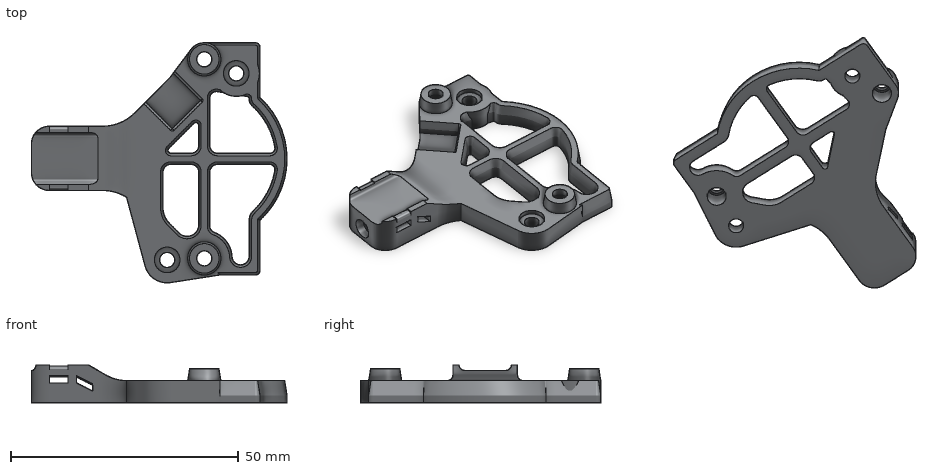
import cadquery as cq
import math


plate_height = 4.9
rim_radius = 18.25
plate_right = 12.3
draft_angle = 9
draft_start = 1.5
corner_fillet = 1.0
seam_width = 2.25

boss_y = 21.95
boss_radius = 3.65
boss_height = 2.6
boss_top = plate_height + boss_height
plate_edge_y = boss_y + boss_radius
hole_radius = 1.65
boss_relief_radius = 2.1
boss_cap_thickness = 1.65
boss_relief_ceiling = boss_top - boss_cap_thickness

pad_radius = 5.1
upper_pad = (7.05, 18.85)
lower_pad = (-8.2, -22.25)
counterbore_radius = 2.8
counterbore_depth = 1.0

arm_end_x = -38.1
arm_axis_y = 0.1
arm_half_width = 7.1
arm_height = 8.35
arm_end_radius = 4.0
ramp_angle = 30
ramp_foot_x = -19.55
ramp_blend_radius = 9
neck_start_x = -22.3
neck_radius = 9.8
neck_end_x = -17.15

bevel_end = (-7.55, 17.95)
slope_end_x = 3.5

saddle_half_width = 5.75
saddle_depth = 1.2

tie_slot_x = arm_end_x + 4.05
tie_slot_length = 4.0
tie_slot_bottom = 4.4
tie_slot_height = 1.6
tie_notch_depth = 0.2
tie_notch_radius = 0.8
cable_slot_x = arm_end_x + 10.0
cable_slot_length = 3.55
cable_slot_drop = 1.8
mouth_chamfer = 0.35

bore_z = 3.0
bore_radius = 2.2
bore_depth = 2.0
pilot_radius = 1.2
pilot_depth = 8.05

pocket_along = 4.1
pocket_width = 8.8
pocket_inner = 9.7
pocket_reach = 11.3
pocket_flare = 0.535
pocket_floor = 1.85
pocket_step = 3.05

rib_half = 1.25
window_flare = 0.55
flare_start = 2.65
window_radius = 15.75
window_right = 9.85
window_top_left = 15.05
window_top_right = 13.65
window_arc_y = math.sqrt(window_radius**2 - window_right**2)
window_tip_x = math.sqrt(window_radius**2 - rib_half**2)
arc_middle = math.degrees(math.asin(window_arc_y / window_radius) + math.asin(rib_half / window_radius)) / 2
triangle_leg_offset = 10.1
left_window_x = -9.1
left_window_bevel = -21.9
hub_fillet = 1.7
rim_tip_fillet = 1.1
triangle_tip_fillet = 0.6
left_bevel_fillet = 4.9
left_tip_fillet = 2.55
outer_corner_fillet = 1.4
upper_shoulder_fillet = 2.0
lower_shoulder_fillet = 2.8
pad_corner_fillet = 0.45
lobe_radius = 1.85
lobe_x = window_right - lobe_radius
lobe_y = -21.5


def on_circle(center, radius, degrees):
    angle = math.radians(degrees)
    return (center[0] + radius * math.cos(angle), center[1] + radius * math.sin(angle))


def direction(start, end):
    return math.degrees(math.atan2(end[1] - start[1], end[0] - start[0]))


def tangent_angle(point, center, radius, side):
    """Direction from a circle's centre to where a line from point touches it."""
    distance = math.hypot(point[0] - center[0], point[1] - center[1])
    return direction(center, point) + side * math.degrees(math.acos(radius / distance))


def cylinder(center, radius, bottom, height):
    return cq.Workplane().workplane(offset=bottom).center(*center).circle(radius).extrude(height)


def make_arm_and_shoulder():
    """Upright left part: arm, necks, corner pad and shoulder, with the ramp cut on top."""
    upper_boss = (0, boss_y)
    arm_top = arm_axis_y + arm_half_width
    arm_bottom = arm_axis_y - arm_half_width
    upper_neck = (neck_start_x, arm_top + neck_radius)
    lower_neck = (neck_start_x, arm_bottom - neck_radius)
    neck_sweep = math.degrees(math.asin((neck_end_x - neck_start_x) / neck_radius))
    neck_end = on_circle(lower_neck, neck_radius, 90 - neck_sweep)
    boss_touch = tangent_angle(bevel_end, upper_boss, boss_radius, -1)
    pad_touch_left = tangent_angle(neck_end, lower_pad, pad_radius, 1)
    slope_end = (slope_end_x, -plate_edge_y)
    pad_touch_right = tangent_angle(slope_end, lower_pad, pad_radius, -1)
    pad_touch_left -= 360 * round((pad_touch_left - pad_touch_right) / 360 + 0.5)
    pad_middle = (pad_touch_left + pad_touch_right) / 2
    blank = (
        cq.Workplane()
        .moveTo(arm_end_x, arm_bottom)
        .lineTo(neck_start_x, arm_bottom)
        .threePointArc(on_circle(lower_neck, neck_radius, 90 - neck_sweep / 2), neck_end)
        .lineTo(*on_circle(lower_pad, pad_radius, pad_touch_left))
        .threePointArc(
            on_circle(lower_pad, pad_radius, pad_middle),
            on_circle(lower_pad, pad_radius, pad_touch_right),
        )
        .lineTo(*slope_end)
        .lineTo(0, -boss_y)
        .lineTo(*upper_boss)
        .lineTo(*on_circle(upper_boss, boss_radius, boss_touch))
        .lineTo(*bevel_end)
        .lineTo(*on_circle(upper_neck, neck_radius, -45))
        .threePointArc(on_circle(upper_neck, neck_radius, -67.5), (neck_start_x, arm_top))
        .lineTo(arm_end_x, arm_top)
        .close()
        .extrude(arm_height)
        .edges("|Z and <X")
        .fillet(arm_end_radius)
    )
    return blank.cut(make_space_above_ramp())


def make_space_above_ramp():
    """Everything above the ramp, its blend arc and the plate."""
    ramp_run = (arm_height - plate_height) / math.tan(math.radians(ramp_angle))
    blend_length = ramp_blend_radius * math.tan(math.radians(ramp_angle / 2))
    blend_end_x = ramp_foot_x + blend_length
    blend_center = (blend_end_x, plate_height + ramp_blend_radius)
    depth = 2 * plate_edge_y
    return (
        cq.Workplane("XZ", origin=(0, depth, 0))
        .moveTo(ramp_foot_x - ramp_run, arm_height)
        .lineTo(*on_circle(blend_center, ramp_blend_radius, -90 - ramp_angle))
        .threePointArc(
            on_circle(blend_center, ramp_blend_radius, -90 - ramp_angle / 2),
            (blend_end_x, plate_height),
        )
        .lineTo(plate_right, plate_height)
        .lineTo(plate_right, arm_height)
        .close()
        .extrude(2 * depth)
    )


def make_drafted_side():
    """Right half of the plate: upright foot, then walls leaning inwards."""
    half_disc = (
        cq.Workplane()
        .moveTo(0, -rim_radius)
        .threePointArc((rim_radius, 0), (0, rim_radius))
        .close()
        .extrude(draft_start)
    )
    foot = (
        cq.Workplane()
        .center(plate_right / 2, 0)
        .rect(plate_right, 2 * plate_edge_y)
        .extrude(draft_start)
        .edges("|Z and >X")
        .fillet(corner_fillet)
        .union(half_disc)
    )
    leaning = (
        foot.faces(">Z").wires().toPending()
        .workplane()
        .extrude(plate_height - draft_start, taper=draft_angle, combine=False)
    )
    seam = cq.Workplane().box(seam_width, 2 * boss_y, plate_height, centered=(True, True, False))
    return foot.union(leaning).union(seam)


def make_window(outline, fillets):
    """Opening with rounded corners (x, y, radius) whose upper half flares out."""
    window = outline.extrude(flare_start)
    for x, y, radius in fillets:
        window = window.edges(cq.NearestToPointSelector((x, y, flare_start / 2))).fillet(radius)
    flare_height = plate_height - flare_start
    flare_angle = math.degrees(math.atan(window_flare / flare_height))
    flared = (
        window.faces(">Z").wires().toPending()
        .workplane()
        .extrude(flare_height, taper=-flare_angle, combine=False)
    )
    return window.union(flared)


def make_triangle_window():
    top = triangle_leg_offset - rib_half
    outline = cq.Workplane().polyline([(-rib_half, rib_half), (-rib_half, top), (-top, rib_half)]).close()
    fillets = [
        (-rib_half, rib_half, hub_fillet),
        (-rib_half, top, triangle_tip_fillet),
        (-top, rib_half, triangle_tip_fillet),
    ]
    return make_window(outline, fillets)


def make_left_window():
    corners = [
        (-rib_half, -rib_half),
        (left_window_x, -rib_half),
        (left_window_x, left_window_bevel - left_window_x),
        (-rib_half, left_window_bevel + rib_half),
    ]
    radii = [hub_fillet, hub_fillet, left_bevel_fillet, left_tip_fillet]
    outline = cq.Workplane().polyline(corners).close()
    return make_window(outline, [(x, y, r) for (x, y), r in zip(corners, radii)])


def make_upper_window():
    outline = (
        cq.Workplane()
        .moveTo(rib_half, rib_half)
        .lineTo(window_tip_x, rib_half)
        .threePointArc(on_circle((0, 0), window_radius, arc_middle), (window_right, window_arc_y))
        .lineTo(window_right, window_top_right)
        .lineTo(rib_half, window_top_left)
        .close()
    )
    fillets = [
        (rib_half, rib_half, hub_fillet),
        (window_tip_x, rib_half, rim_tip_fillet),
        (window_right, window_arc_y, upper_shoulder_fillet),
        (window_right, window_top_right, pad_corner_fillet),
        (rib_half, window_top_left, outer_corner_fillet),
    ]
    return make_window(outline, fillets)


def make_lower_window():
    boss = (0, -boss_y)
    lobe = (lobe_x, lobe_y)
    lobe_direction = direction(boss, lobe)
    clearance = math.hypot(lobe_x, lobe_y + boss_y) - lobe_radius
    clearance_end = math.degrees(math.acos(rib_half / clearance))
    arc_end = on_circle(boss, clearance, clearance_end)
    outline = (
        cq.Workplane()
        .moveTo(rib_half, -rib_half)
        .lineTo(window_tip_x, -rib_half)
        .threePointArc(on_circle((0, 0), window_radius, -arc_middle), (window_right, -window_arc_y))
        .lineTo(window_right, lobe_y)
        .threePointArc(
            on_circle(lobe, lobe_radius, -90),
            on_circle(lobe, lobe_radius, 180 + lobe_direction),
        )
        .threePointArc(on_circle(boss, clearance, clearance_end / 2), arc_end)
        .close()
    )
    fillets = [
        (rib_half, -rib_half, hub_fillet),
        (window_tip_x, -rib_half, rim_tip_fillet),
        (window_right, -window_arc_y, lower_shoulder_fillet),
        (*arc_end, outer_corner_fillet),
    ]
    return make_window(outline, fillets)


def make_boss(center):
    return (
        cq.Workplane().workplane(offset=plate_height).center(*center)
        .circle(boss_radius).extrude(boss_height, taper=draft_angle)
        .union(cylinder(center, boss_radius, 0, plate_height))
    )


def make_side_pocket():
    """Pocket open to the 45 degree edge, with an upright step below leaning walls."""
    plane = cq.Plane(origin=(0, 0, pocket_floor), xDir=(1, 1, 0), normal=(0, 0, 1))
    step = (
        cq.Workplane(plane)
        .center(pocket_along, pocket_inner + pocket_reach / 2)
        .rect(pocket_width, pocket_reach)
        .extrude(pocket_step - pocket_floor)
    )
    flare_height = plate_height - pocket_step
    flare_angle = math.degrees(math.atan(pocket_flare / flare_height))
    leaning = (
        step.faces(">Z").wires().toPending()
        .workplane()
        .extrude(flare_height, taper=-flare_angle, combine=False)
    )
    return step.union(leaning)


def make_saddle():
    """Recess with concave sides, open at the end of the arm and at the ramp."""
    floor_half = saddle_half_width - saddle_depth
    floor_z = arm_height - saddle_depth
    bend = saddle_depth * math.sqrt(0.5)
    return (
        cq.Workplane("YZ", origin=(arm_end_x, arm_axis_y, 0))
        .moveTo(-saddle_half_width, arm_height)
        .threePointArc((-floor_half - bend, arm_height - bend), (-floor_half, floor_z))
        .lineTo(floor_half, floor_z)
        .threePointArc((floor_half + bend, arm_height - bend), (saddle_half_width, arm_height))
        .close()
        .extrude(ramp_foot_x - arm_end_x)
    )


def make_through_slot(x, length, drop):
    """Slot across the arm, falling by drop along X, with a bevelled upper lip at each mouth."""
    top = tie_slot_bottom + tie_slot_height

    def prism(upper, y_start, y_end):
        corners = [
            (x, tie_slot_bottom),
            (x + length, tie_slot_bottom - drop),
            (x + length, upper - drop),
            (x, upper),
        ]
        return cq.Workplane("XZ", origin=(0, y_end, 0)).polyline(corners).close().extrude(y_end - y_start)

    near = arm_axis_y - arm_half_width
    far = arm_axis_y + arm_half_width
    slot = prism(top - mouth_chamfer, near, far)
    for mouth_y, inward in ((near, 1), (far, -1)):
        lip = (
            cq.Workplane("YZ", origin=(x, 0, 0))
            .polyline([
                (mouth_y, tie_slot_bottom),
                (mouth_y, top),
                (mouth_y + inward * mouth_chamfer, top - mouth_chamfer),
                (mouth_y + inward * mouth_chamfer, tie_slot_bottom),
            ])
            .close()
        )
        path = cq.Workplane("XZ", origin=(0, mouth_y, 0)).moveTo(x, top).lineTo(x + length, top - drop)
        slot = slot.union(lip.sweep(path))
    return slot


def make_tie_notches():
    """Shallow rounded notches in the upper outer edges of the arm, above the tie slot."""
    block = (
        cq.Workplane()
        .box(tie_slot_length, 2 * arm_half_width, arm_height, centered=(False, True, False))
        .translate((tie_slot_x, arm_axis_y, 0))
    )
    rounded = (
        cq.Workplane()
        .box(tie_slot_length, 2 * arm_half_width, arm_height - tie_notch_depth, centered=(False, True, False))
        .edges("|X and >Z")
        .fillet(tie_notch_radius)
        .translate((tie_slot_x, arm_axis_y, 0))
    )
    return block.cut(rounded)


def make_bore(radius, depth):
    return cq.Workplane("YZ", origin=(arm_end_x, arm_axis_y, bore_z)).circle(radius).extrude(depth)


bosses = [(0, boss_y), (0, -boss_y)]
pads = [upper_pad, lower_pad]

result = make_arm_and_shoulder().union(make_drafted_side())
for window in (make_triangle_window(), make_left_window(), make_upper_window(), make_lower_window()):
    result = result.cut(window)
result = result.union(cylinder(upper_pad, pad_radius, 0, plate_height))
for center in bosses:
    result = result.union(make_boss(center))

for center in bosses + pads:
    result = result.cut(cylinder(center, hole_radius, 0, boss_top))
for center in bosses:
    result = result.cut(cylinder(center, boss_relief_radius, 0, boss_relief_ceiling))
counterbore_floor = plate_height - counterbore_depth
for center in pads:
    result = result.cut(cylinder(center, counterbore_radius, counterbore_floor, counterbore_depth))

result = result.cut(make_side_pocket()).cut(make_saddle()).cut(make_tie_notches())
result = result.cut(make_through_slot(tie_slot_x, tie_slot_length, 0))
result = result.cut(make_through_slot(cable_slot_x, cable_slot_length, cable_slot_drop))
result = result.cut(make_bore(bore_radius, bore_depth)).cut(make_bore(pilot_radius, pilot_depth))